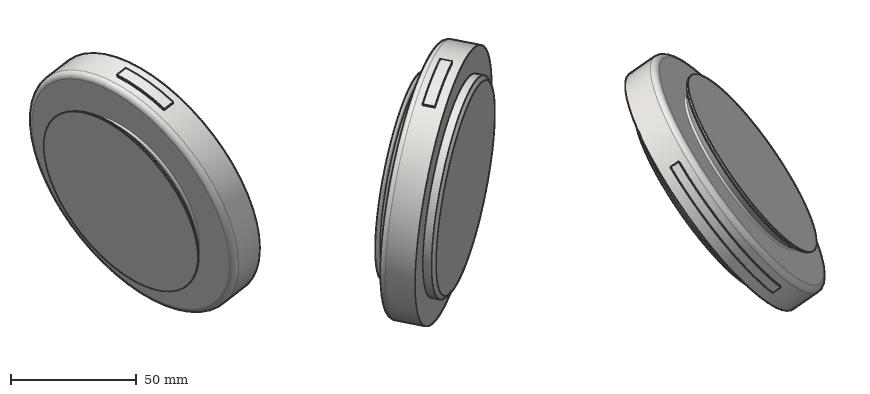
import cadquery as cq
import math

overall_height = 116.0
overall_depth = 25.5

disc_radius = 114.0 / 2
disc_thickness = 15.0
disc_edge_radius = 2.5

step_radius = 91.0 / 2
step_thickness = 5.0
step_chamfer_depth = 1.4
step_chamfer_inset = 1.7

lip_radius = 85.0 / 2
lip_thickness = 1.5
cone_large_radius = 40.5
root_fillet = 0.6

pad_height = overall_height / 2 - disc_radius
pad_root = 0.9
pad_front_offset = 5.8
top_pad_width = 5.1
top_pad_half_length = 13.1
bottom_pad_width = 4.1
bottom_pad_half_length = 33.9

disc_back = overall_depth - step_thickness
disc_front = disc_back - disc_thickness
cone_small_radius = cone_large_radius - (disc_front - lip_thickness)


def turned_body():
    """Revolve the half section of the disc, the rear step and the dovetail."""
    diagonal = math.sqrt(0.5)

    tangent_length = root_fillet / math.tan(math.radians(45 / 2))
    fillet_center_r = cone_small_radius + tangent_length
    fillet_center_y = disc_front - root_fillet
    cone_start = (
        cone_small_radius + tangent_length * diagonal,
        disc_front - tangent_length * diagonal,
    )
    half_turn = math.radians(135 / 2)
    fillet_middle = (
        fillet_center_r - root_fillet * math.sin(half_turn),
        fillet_center_y + root_fillet * math.cos(half_turn),
    )
    lip_middle = (
        lip_radius - lip_thickness * (1 - diagonal),
        lip_thickness * diagonal,
    )
    edge_middle = (
        disc_radius - disc_edge_radius * (1 - diagonal),
        disc_front + disc_edge_radius * (1 - diagonal),
    )

    section = (
        cq.Workplane("XY")
        .lineTo(lip_radius, 0)
        .threePointArc(lip_middle, (lip_radius - lip_thickness, lip_thickness))
        .lineTo(cone_large_radius, lip_thickness)
        .lineTo(*cone_start)
        .threePointArc(fillet_middle, (fillet_center_r, disc_front))
        .lineTo(disc_radius - disc_edge_radius, disc_front)
        .threePointArc(edge_middle, (disc_radius, disc_front + disc_edge_radius))
        .lineTo(disc_radius, disc_back)
        .lineTo(step_radius, disc_back)
        .lineTo(step_radius, overall_depth - step_chamfer_depth)
        .lineTo(step_radius - step_chamfer_inset, overall_depth)
        .lineTo(0, overall_depth)
        .close()
    )
    return section.revolve(360, (0, 0), (0, 1))


def rim_pad(width, half_length, center_angle):
    """Raised arc pad on the rim; center_angle turns about +Y, starting from +X."""
    half_angle = math.degrees(math.asin(half_length / (disc_radius + pad_height)))
    pad = (
        cq.Workplane("XY")
        .moveTo(disc_radius - pad_root, disc_front + pad_front_offset)
        .rect(pad_root + pad_height, width, centered=False)
        .revolve(2 * half_angle, (0, 0), (0, 1))
    )
    return pad.rotate((0, 0, 0), (0, 1, 0), center_angle - half_angle)


top_pad = rim_pad(top_pad_width, top_pad_half_length, -90)
bottom_pad = rim_pad(bottom_pad_width, bottom_pad_half_length, 90)
result = turned_body().union(top_pad).union(bottom_pad)